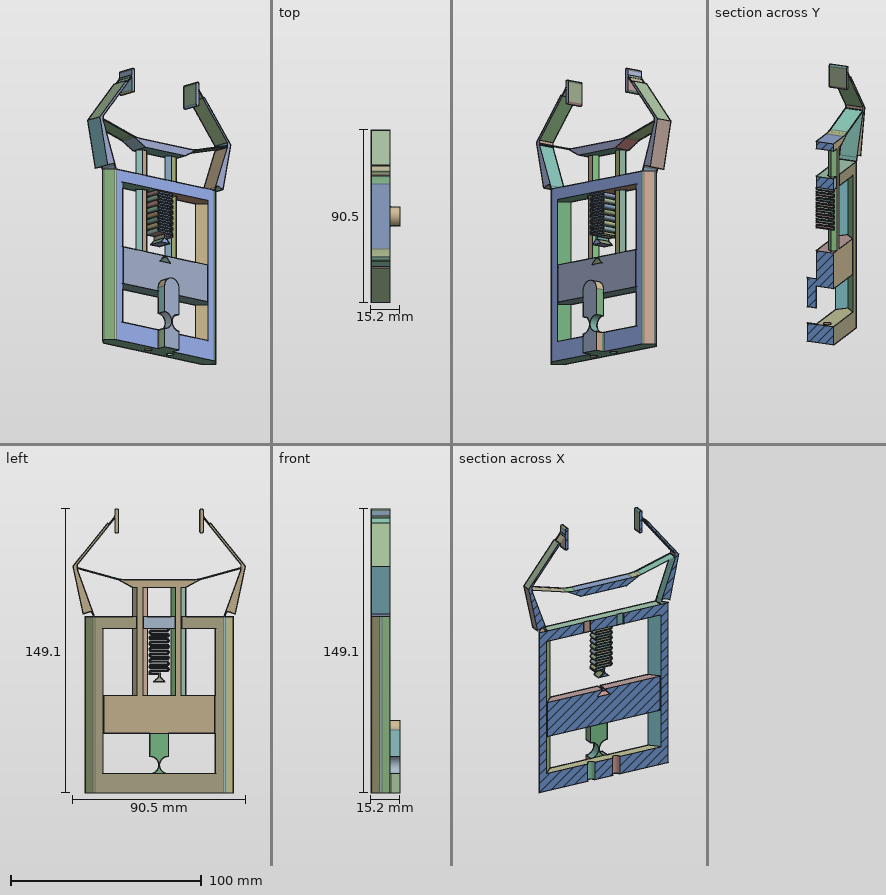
import cadquery as cq
import math

depth = 10.0
total_height = 149.06
overall_half_width = 45.26

frame_height = 92.5
frame_half_flat = 34.3
frame_corner_radius = 1.5
frame_ridge_radius = 1.0
window_half_flat = 29.4
window_bottom = 10.3
window_top = 86.2
mount_hole_diameter = 4.0
mount_hole_spacing = 15.0

slider_half_flat = 29.0
slider_bottom = 31.3
slider_top = 51.2
rod_offset = 10.05
rod_half_flat = 1.5
rod_depth = 4.9
rod_clearance = 0.3

head_bottom = 107.7
head_top = 111.9
head_bottom_half_width = 13.8
link_thickness = 0.5
link_root_y = 19.8
link_root_blend = 2.75
link_under_y = 21.2
link_overlap = 0.3
link_angle = math.radians(15.4)

elbow_z = 118.9
elbow_inner_y = 42.85
elbow_inner_bottom = 117.2
arm_end = (27.0, 141.6)
forearm_thickness = 1.3
neck_thickness = 0.55
neck_step_width = 0.65
neck_flare_width = 0.45
neck_flare_rise = 0.35
arm_tip = (39.9, 93.8)
foot_y = 33.9
hinge_thickness = 0.55
hinge_blend_radius = 1.0

pad_outer_y = 23.25
pad_thickness = 2.0
pad_height = 12.8
pad_edge_radius = 0.99

spring_bars = 16
spring_pitch = 1.5
spring_bar_thickness = 0.8
spring_half_width = 5.3
wedge_stem_width = 1.0
wedge_bottom = 58.3
wedge_half_width = 3.1
wedge_height = 2.5
stem_offset = -0.2
wedge_start = 1.5
socket_start = 1.5
socket_half_mouth = 0.7
socket_lip = 0.5
socket_depth = 3.5

tab_thickness = 5.25
tab_half_width = 5.0
tab_top = 38.1
notch_center_z = 14.65
notch_radius = 4.5
tab_neck_half_width = 0.25
tab_flare = 0.25
tab_flare_depth = 0.8


def box(y_min, y_max, z_min, z_max, x_min=0.0, x_max=depth):
    """Block between the given limits."""
    size = (x_max - x_min, y_max - y_min, z_max - z_min)
    return cq.Workplane("XY").box(*size, centered=False).translate((x_min, y_min, z_min))


def plate(outline):
    """Extrude a closed (Y, Z) polygon through the body depth."""
    return cq.Workplane("YZ").polyline(outline).close().extrude(depth)


def ridged_bar(half_flat, thickness, z_min, z_max):
    """Upright bar with a 45 degree ridge along each side, at half its thickness."""
    ridge = half_flat + thickness / 2
    outline = [
        (0, -half_flat),
        (0, half_flat),
        (thickness / 2, ridge),
        (thickness, half_flat),
        (thickness, -half_flat),
        (thickness / 2, -ridge),
    ]
    bar = cq.Workplane("XY").polyline(outline).close().extrude(z_max - z_min)
    return bar.translate((0, 0, z_min))


def both_sides(half):
    """Join a +Y feature with its mirror image."""
    return half.union(half.mirror("XZ"))


def make_frame():
    frame = ridged_bar(frame_half_flat, depth, 0, frame_height)
    frame = frame.edges("|Z").edges("<X or >X").fillet(frame_corner_radius)
    frame = frame.edges("|Z").edges("<Y or >Y").fillet(frame_ridge_radius)
    frame = frame.cut(ridged_bar(window_half_flat, depth, window_bottom, window_top))
    for side in (-1, 1):
        channel = ridged_bar(
            rod_half_flat + rod_clearance, rod_depth + rod_clearance, window_top, frame_height
        )
        frame = frame.cut(channel.translate((0, side * rod_offset, 0)))
        hole = cq.Workplane("XY").circle(mount_hole_diameter / 2).extrude(window_bottom)
        frame = frame.cut(hole.translate((depth / 2, side * mount_hole_spacing / 2, 0)))
    return frame


def make_slider():
    slider = ridged_bar(slider_half_flat, depth, slider_bottom, slider_top)
    for side in (-1, 1):
        rod = ridged_bar(rod_half_flat, rod_depth, slider_top, head_bottom)
        slider = slider.union(rod.translate((0, side * rod_offset, 0)))
    socket_half_base = socket_half_mouth + socket_depth - socket_lip
    socket = plate([
        (-socket_half_mouth, slider_top),
        (socket_half_mouth, slider_top),
        (socket_half_mouth, slider_top - socket_lip),
        (socket_half_base, slider_top - socket_depth),
        (-socket_half_base, slider_top - socket_depth),
        (-socket_half_mouth, slider_top - socket_lip),
    ])
    return slider.cut(socket.translate((socket_start, 0, 0)))


def make_half_head():
    """Head block and the thin link from it to the arm's elbow."""
    slope = math.tan(link_angle)
    drop = link_thickness / math.cos(link_angle)

    def link_top(y):
        return head_top + (y - link_root_y) * slope

    link_end = elbow_inner_y + link_overlap
    blend_end = link_root_y + link_root_blend * math.cos(link_angle)
    outline = (
        cq.Workplane("YZ")
        .moveTo(0, head_top)
        .lineTo(link_root_y - link_root_blend, head_top)
        .tangentArcPoint((blend_end, link_top(blend_end)), relative=False)
        .lineTo(link_end, link_top(link_end))
        .lineTo(link_end, link_top(link_end) - drop)
        .lineTo(link_under_y, link_top(link_under_y) - drop)
        .lineTo(head_bottom_half_width, head_bottom)
        .lineTo(0, head_bottom)
        .close()
    )
    return outline.extrude(depth)


def make_half_arm():
    """Arm from its foot hinge up to the elbow, forearm, neck and gripping pad."""
    elbow = (overall_half_width, elbow_z)

    rise = (elbow[1] - arm_end[1]) / (elbow[0] - arm_end[0])
    forearm_cos = 1 / math.hypot(1, rise)

    def forearm_z(y, inset):
        return arm_end[1] + (y - arm_end[0]) * rise - inset / forearm_cos

    neck_inset = forearm_thickness - neck_thickness
    step_y = arm_end[0] - neck_step_width
    flare_y = pad_outer_y + neck_flare_width
    pad_y = pad_outer_y - pad_thickness / 2
    forearm = plate([
        elbow,
        arm_end,
        (step_y, forearm_z(step_y, neck_inset)),
        (flare_y, forearm_z(flare_y, neck_inset)),
        (pad_outer_y, forearm_z(pad_outer_y, neck_inset) + neck_flare_rise),
        (pad_y, forearm_z(pad_outer_y, neck_inset)),
        (pad_y, forearm_z(pad_y, forearm_thickness)),
        (elbow_inner_y, forearm_z(elbow_inner_y, forearm_thickness)),
        (elbow_inner_y, elbow_inner_bottom),
    ])

    run = elbow_inner_y - foot_y
    drop = elbow_inner_bottom - frame_height
    length = math.hypot(run, drop)
    along = (run / length, drop / length)
    across = (drop / length, -run / length)
    foot_outer = (foot_y + hinge_thickness / across[0], frame_height)
    tip_distance = (arm_tip[0] - foot_outer[0]) * along[0] + (arm_tip[1] - foot_outer[1]) * along[1]
    corner = (foot_outer[0] + tip_distance * along[0], foot_outer[1] + tip_distance * along[1])

    def from_corner(down, out):
        return (
            corner[0] - down * along[0] + out * across[0],
            corner[1] - down * along[1] + out * across[1],
        )

    radius = hinge_blend_radius
    bulge = radius * (1 - math.sqrt(0.5))
    lower_arm = (
        cq.Workplane("YZ")
        .moveTo(foot_y, frame_height)
        .lineTo(elbow_inner_y, elbow_inner_bottom)
        .lineTo(*elbow)
        .lineTo(*arm_tip)
        .lineTo(*from_corner(0, radius))
        .threePointArc(from_corner(bulge, bulge), from_corner(radius, 0))
        .lineTo(*foot_outer)
        .close()
        .extrude(depth)
    )

    pad = box(pad_outer_y - pad_thickness, pad_outer_y, total_height - pad_height, total_height)
    pad = pad.edges("|X").fillet(pad_edge_radius)
    return forearm.union(lower_arm).union(pad)


def make_spring():
    """Serpentine spring hanging from the top bar, ending in a wedge."""
    half_bar = spring_bar_thickness / 2
    gap = spring_pitch - spring_bar_thickness
    turn_radius = (spring_pitch + spring_bar_thickness) / 2
    straight = spring_half_width - turn_radius
    first_z = window_top - gap - half_bar

    def turn(side, upper_z):
        middle_z = upper_z - spring_pitch / 2
        ring = (
            cq.Workplane("YZ")
            .center(side * straight, middle_z)
            .circle(turn_radius)
            .circle(gap / 2)
            .extrude(depth)
        )
        outside = sorted((side * straight, side * spring_half_width))
        return ring.intersect(box(*outside, middle_z - turn_radius, middle_z + turn_radius))

    spring = turn(-1, first_z + spring_pitch)
    last_z = first_z - (spring_bars - 1) * spring_pitch
    for index in range(spring_bars - 1):
        z = first_z - index * spring_pitch
        spring = spring.union(box(-straight, straight, z - half_bar, z + half_bar))
        spring = spring.union(turn(1 if index % 2 == 0 else -1, z))

    stem_left = stem_offset - wedge_stem_width / 2
    stem_right = stem_offset + wedge_stem_width / 2
    wedge_top = wedge_bottom + wedge_height
    wedge = plate([
        (-wedge_half_width, wedge_bottom),
        (wedge_half_width, wedge_bottom),
        (stem_right, wedge_top),
        (stem_left, wedge_top),
    ])
    hook = (
        box(stem_left, spring_half_width, last_z - half_bar, last_z + half_bar)
        .union(box(stem_left, stem_right, wedge_top, last_z))
        .union(wedge)
    )
    set_back = box(-overall_half_width, overall_half_width, 0, total_height, wedge_start)
    return spring.union(hook.intersect(set_back))


def make_tab():
    """Round-ended tab on the back, thinned to a breakable neck by two round notches."""
    tab_end = depth + tab_thickness
    round_z = tab_top - tab_half_width
    tab = box(-tab_half_width, tab_half_width, 0, round_z, depth, tab_end)
    tab = tab.union(
        cq.Workplane("YZ", origin=(depth, 0, round_z)).circle(tab_half_width).extrude(tab_thickness)
    )
    notch_bottom = notch_center_z - notch_radius
    notch_y = tab_neck_half_width + notch_radius
    for side in (-1, 1):
        notch = (
            cq.Workplane("YZ", origin=(depth, side * notch_y, notch_center_z))
            .circle(notch_radius)
            .extrude(tab_thickness)
        )
        outside = sorted((side * notch_y, side * overall_half_width))
        notch_top = notch_center_z + notch_radius
        tab = tab.cut(notch).cut(box(*outside, notch_bottom, notch_top, depth, tab_end))
    root_half_width = tab_half_width + tab_flare
    root = (
        cq.Workplane("XY")
        .polyline([
            (depth, -root_half_width),
            (depth, root_half_width),
            (depth + tab_flare_depth, tab_half_width),
            (depth + tab_flare_depth, -tab_half_width),
        ])
        .close()
        .extrude(notch_bottom)
    )
    return tab.union(root)


result = make_frame().union(make_slider()).union(both_sides(make_half_head()))
result = result.union(both_sides(make_half_arm())).union(make_spring()).union(make_tab())